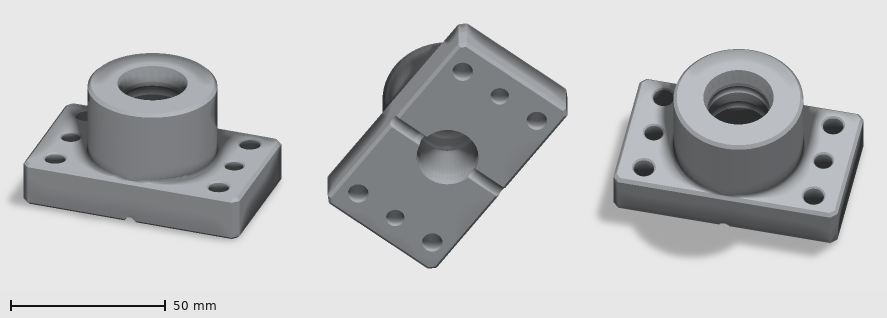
import cadquery as cq
import math

plate_length = 74.0
plate_width = 44.0
plate_thickness = 15.0
edge_chamfer = 1.0
corner_chamfer = 2.0

total_height = 40.0
boss_radius = plate_width / 2 - edge_chamfer
root_fillet = edge_chamfer
pinch_angle = 89.5
pinch_steps = 4

bore_radius = 20.0 / 2
entry_depth = 5.0
entry_slope = 15
groove_width = 3.25
groove_depth = 0.9
first_groove_depth = 8.15
groove_pitch = 7.7
groove_count = 2

row_spacing = 56.0
hole_spacing = 30.0
corner_hole_diameter = 6.65
middle_hole_diameter = 6.0
hole_chamfer = 0.5
hole_chamfer_angle = 90

channel_radius = 2.0


def make_plate():
    """Plate with chamfered vertical corners and chamfered top and bottom rims."""
    block = cq.Workplane("XY").rect(plate_length, plate_width).extrude(plate_thickness)
    block = block.edges("|Z").chamfer(corner_chamfer)
    return block.faces("<Z or >Z").edges().chamfer(edge_chamfer)


def make_boss():
    """Round boss with a chamfered top rim; it starts at the plate's underside."""
    boss = cq.Workplane("XY").circle(boss_radius).extrude(total_height)
    return boss.faces(">Z").edges().chamfer(edge_chamfer)


def fillet_section(angle, reach):
    """Section of the root fillet in the half-plane at an angle (degrees) about Z.

    The arc is tangent to the boss wall and ends on the plate top at a distance reach from the wall.
    """
    rise = math.sqrt(2 * root_fillet * reach - reach**2)
    half_sweep = math.asin(min(rise / root_fillet, 1)) / 2
    middle_out = root_fillet * (1 - math.cos(half_sweep))
    middle_up = rise - root_fillet * math.sin(half_sweep)
    direction = (math.cos(math.radians(angle)), math.sin(math.radians(angle)), 0)
    normal = (direction[1], -direction[0], 0)
    plane = cq.Plane(origin=(0, 0, plate_thickness), xDir=direction, normal=normal)
    inner = boss_radius - root_fillet
    outline = (
        cq.Workplane(plane)
        .moveTo(inner, 0)
        .lineTo(boss_radius + reach, 0)
        .threePointArc((boss_radius + middle_out, middle_up), (boss_radius, rise))
        .lineTo(inner, rise)
        .close()
    )
    return outline.val()


def make_root_fillet():
    """Fillet between boss and plate top, pinching to nothing where the boss meets the long edges."""
    full_angle = math.degrees(math.asin(boss_radius / (boss_radius + root_fillet)))
    arc_start = fillet_section(-full_angle, root_fillet)
    axis_base = cq.Vector(0, 0, 0)
    axis_top = cq.Vector(0, 0, 1)
    arc_part = cq.Workplane(cq.Solid.revolve(arc_start, [], 2 * full_angle, axis_base, axis_top))
    sections = []
    for step in range(pinch_steps + 1):
        angle = full_angle + (pinch_angle - full_angle) * step / pinch_steps
        reach = boss_radius / math.sin(math.radians(angle)) - boss_radius
        sections.append(fillet_section(angle, min(reach, root_fillet)))
    pinched_part = cq.Workplane(cq.Solid.makeLoft(sections))
    half = arc_part.union(pinched_part).union(pinched_part.mirror("XZ"))
    return half.union(half.mirror("YZ"))


def make_bore():
    """Cutter for the bore, with its tapered entry at the top and its grooves below."""
    entry_spread = entry_depth * math.tan(math.radians(entry_slope))
    profile = (
        cq.Workplane("XZ")
        .moveTo(0, total_height)
        .lineTo(bore_radius + entry_spread, total_height)
        .lineTo(bore_radius, total_height - entry_depth)
    )
    for index in range(groove_count):
        groove_height = total_height - first_groove_depth - index * groove_pitch
        profile = (
            profile
            .lineTo(bore_radius, groove_height + groove_width / 2)
            .threePointArc(
                (bore_radius + groove_depth, groove_height),
                (bore_radius, groove_height - groove_width / 2),
            )
        )
    return profile.lineTo(bore_radius, 0).lineTo(0, 0).close().revolve()


def drill_holes(body, positions, diameter):
    """Through holes from the plate top, each with a chamfered mouth."""
    return (
        body.copyWorkplane(cq.Workplane("XY", origin=(0, 0, plate_thickness)))
        .pushPoints(positions)
        .cskHole(diameter, diameter + 2 * hole_chamfer, hole_chamfer_angle)
    )


def cut_channel(body):
    """Channel along Y through the middle of the underside."""
    channel = cq.Workplane("XZ").circle(channel_radius).extrude(plate_width, both=True)
    return body.cut(channel)


corner_positions = [(x * row_spacing / 2, y * hole_spacing / 2) for x in (-1, 1) for y in (-1, 1)]
middle_positions = [(x * row_spacing / 2, 0) for x in (-1, 1)]

result = make_plate().union(make_boss()).union(make_root_fillet())
result = result.cut(make_bore())
result = drill_holes(result, corner_positions, corner_hole_diameter)
result = drill_holes(result, middle_positions, middle_hole_diameter)
result = cut_channel(result)